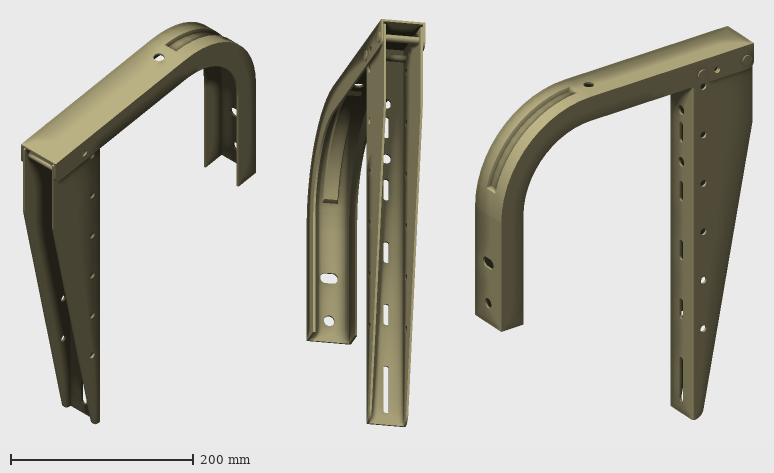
import cadquery as cq
import math

height = 445.0
length = 340.0
sheet = 2.5
side_clearance = 0.5

arm_width = 50.0
arm_depth = 30.0
arm_bend_radius = 120.0
arm_drop = 255.0
arm_corner_radius = 8.0
bend_y = length - arm_bend_radius
bend_z = height - arm_bend_radius
leg_end_z = height - arm_drop

bead_depth = 4.0
bead_mouth_width = 16.5
bead_floor_width = 12.5
bead_start_angle = 13.7
bead_end_angle = 88.0

web_hole_diameter = 12.0
web_hole_before_bend = 15.0
cross_slot_length = 20.0
cross_slot_width = 12.0
cross_slot_below_bend = 60.0
leg_hole_below_bend = 110.0

post_width = arm_width - 2 * (sheet + side_clearance)
post_depth = 80.0
post_top_z = height - 5.5
post_taper_z = 345.8
post_foot_depth = 12.5
post_foot_radius = 12.0
post_bend_radius = 2.2

post_hole_diameter = 11.0
post_hole_heights = (375.5, 311.5)
slot_width = 6.5
slot_length = 25.0
slot_count = 4
slot_pitch = 73.0
top_slot_z = 348.0
long_slot_length = 55.0
long_slot_z = 41.5

side_hole_diameter = 8.0
side_hole_count = 6
side_hole_pitch = 60.0
top_side_hole_z = 410.0
side_hole_y = 66.0

pin_diameter = 8.0
head_diameter = 12.5
head_height = 1.5
pin_z = height - 18.2
front_pin_y = 9.5
pin_spacing = 59.5
free_hole_y = 49.5


def extrude_across(sketch, width):
    """Extrude a YZ sketch symmetrically about X = 0."""
    return sketch.extrude(width / 2, both=True)


def cylinder_along_x(diameter, y, z, x_start, x_end):
    """Cylinder parallel to X between two X positions."""
    start = cq.Workplane("YZ", origin=(x_start, y, z))
    return start.circle(diameter / 2).extrude(x_end - x_start)


def arm_band(outer_inset, inner_inset, width):
    """J-shaped solid between two insets from the outer face of the arm web."""
    outer_radius = arm_bend_radius - outer_inset
    inner_radius = arm_bend_radius - inner_inset
    diagonal = math.sqrt(0.5)
    sketch = (
        cq.Workplane("YZ")
        .moveTo(0, bend_z + outer_radius)
        .lineTo(bend_y, bend_z + outer_radius)
        .threePointArc(
            (bend_y + outer_radius * diagonal, bend_z + outer_radius * diagonal),
            (bend_y + outer_radius, bend_z),
        )
        .lineTo(bend_y + outer_radius, leg_end_z)
        .lineTo(bend_y + inner_radius, leg_end_z)
        .lineTo(bend_y + inner_radius, bend_z)
        .threePointArc(
            (bend_y + inner_radius * diagonal, bend_z + inner_radius * diagonal),
            (bend_y, bend_z + inner_radius),
        )
        .lineTo(0, bend_z + inner_radius)
        .close()
    )
    return extrude_across(sketch, width)


def bend_point(radius, angle):
    """Point (Y, Z) on a circle about the arm bend axis."""
    turn = math.radians(angle)
    return (bend_y + radius * math.cos(turn), bend_z + radius * math.sin(turn))


def bead_body(top_radius, floor_radius, top_width, floor_width, start_angle, end_angle):
    """Curved bar of trapezoid section about the bend axis, its ends ramped at 45 degrees."""
    ring = (
        cq.Workplane("XY", origin=(0, bend_y, bend_z))
        .polyline(
            [
                (-top_width / 2, top_radius),
                (top_width / 2, top_radius),
                (floor_width / 2, floor_radius),
                (-floor_width / 2, floor_radius),
            ]
        )
        .close()
        .revolve(360, (0, 0, 0), (1, 0, 0))
    )
    ramp_drop = 2 * (top_radius - floor_radius)
    ramp_turn = math.degrees(ramp_drop / top_radius)
    middle_angle = (start_angle + end_angle) / 2
    sector = (
        cq.Workplane("YZ")
        .polyline(
            [
                bend_point(top_radius - ramp_drop, start_angle + ramp_turn),
                bend_point(top_radius, start_angle),
                bend_point(2 * top_radius, middle_angle),
                bend_point(top_radius, end_angle),
                bend_point(top_radius - ramp_drop, end_angle - ramp_turn),
                (bend_y, bend_z),
            ]
        )
        .close()
    )
    return ring.intersect(extrude_across(sector, top_width))


def web_drill(diameter, z, back_y):
    """Round cutter through an upright web whose rear face is at back_y."""
    face = cq.Workplane("XZ", origin=(0, back_y, z))
    return face.circle(diameter / 2).extrude(2 * sheet)


def web_slot(slot_span, width, angle, z, back_y):
    """Slot cutter through an upright web, its angle measured from the X direction."""
    face = cq.Workplane("XZ", origin=(0, back_y, z))
    return face.slot2D(slot_span, width, angle).extrude(2 * sheet)


def make_arm():
    arm = arm_band(0, arm_depth, arm_width)
    arm = arm.edges("|X").edges("<Y").edges("<Z").fillet(arm_corner_radius)
    arm = arm.cut(arm_band(sheet, arm_depth, arm_width - 2 * sheet))

    sheet_angle = math.degrees(sheet / arm_bend_radius)
    underside = bead_body(
        arm_bend_radius - sheet / 2,
        arm_bend_radius - bead_depth - sheet,
        bead_mouth_width + sheet,
        bead_floor_width + sheet,
        bead_start_angle - sheet_angle,
        bead_end_angle + sheet_angle,
    )
    groove = bead_body(
        arm_bend_radius,
        arm_bend_radius - bead_depth,
        bead_mouth_width,
        bead_floor_width,
        bead_start_angle,
        bead_end_angle,
    )
    arm = arm.union(underside).cut(groove)

    top_hole = (
        cq.Workplane("XY", origin=(0, bend_y - web_hole_before_bend, height - arm_depth))
        .circle(web_hole_diameter / 2)
        .extrude(arm_depth)
    )
    cross_slot = web_slot(
        cross_slot_length, cross_slot_width, 0, bend_z - cross_slot_below_bend, length
    )
    leg_hole = web_drill(web_hole_diameter, bend_z - leg_hole_below_bend, length)
    return arm.cut(top_hole).cut(cross_slot).cut(leg_hole)


def make_post():
    sketch = (
        cq.Workplane("YZ")
        .moveTo(0, post_top_z)
        .lineTo(post_depth, post_top_z)
        .lineTo(post_depth, 0)
        .lineTo(post_depth - post_foot_depth, 0)
        .lineTo(0, post_taper_z)
        .close()
    )
    post = extrude_across(sketch, post_width)
    foot_corner = cq.selectors.NearestToPointSelector((0, post_depth - post_foot_depth, 0))
    post = post.edges("|X").edges(foot_corner).fillet(post_foot_radius)
    post = post.faces(">Y").edges("|Z").fillet(post_bend_radius)
    inside = cq.Workplane("XY").box(
        post_width - 2 * sheet, post_depth - sheet, height, centered=(True, False, False)
    )
    post = post.cut(inside)

    for z in post_hole_heights:
        post = post.cut(web_drill(post_hole_diameter, z, post_depth))
    for i in range(slot_count):
        z = top_slot_z - i * slot_pitch
        post = post.cut(web_slot(slot_length, slot_width, 90, z, post_depth))
    post = post.cut(web_slot(long_slot_length, slot_width, 90, long_slot_z, post_depth))

    for i in range(side_hole_count):
        z = top_side_hole_z - i * side_hole_pitch
        post = post.cut(
            cylinder_along_x(side_hole_diameter, side_hole_y, z, -post_width / 2, post_width / 2)
        )
    return post


def make_pin(y):
    """Pin through both channels with a flat head on the -X side."""
    shank = cylinder_along_x(pin_diameter, y, pin_z, -arm_width / 2, arm_width / 2)
    head = cylinder_along_x(
        head_diameter, y, pin_z, -arm_width / 2 - head_height, -arm_width / 2
    )
    return shank.union(head)


result = make_arm().union(make_post())
result = result.cut(
    cylinder_along_x(side_hole_diameter, free_hole_y, pin_z, -arm_width / 2, arm_width / 2)
)
for pin_y in (front_pin_y, front_pin_y + pin_spacing):
    result = result.union(make_pin(pin_y))